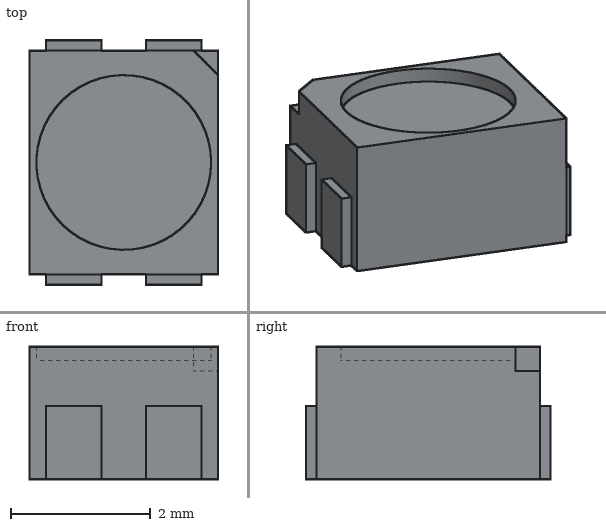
import cadquery as cq

body_width = 2.7
overall_length = 3.5
lead_thickness = 0.15
body_length = overall_length - 2 * lead_thickness
body_height = 1.9

recess_diameter = 2.5
recess_depth = 0.2

notch_leg = 0.35
notch_depth = 0.35

lead_width = 0.798
lead_height = 1.05
lead_pitch = 1.43


def make_body():
    return cq.Workplane("XY").box(body_width, body_length, body_height, centered=(True, True, False))


def make_recess():
    floor = cq.Workplane("XY").workplane(offset=body_height - recess_depth)
    return floor.circle(recess_diameter / 2).extrude(recess_depth)


def make_corner_notch():
    """Triangular prism at the +X +Y top corner."""
    corner_x = body_width / 2
    corner_y = body_length / 2
    return (
        cq.Workplane("XY")
        .workplane(offset=body_height - notch_depth)
        .moveTo(corner_x, corner_y)
        .lineTo(corner_x - notch_leg, corner_y)
        .lineTo(corner_x, corner_y - notch_leg)
        .close()
        .extrude(notch_depth)
    )


def make_leads():
    """Four flat leads, two on each end face, standing on the base plane."""
    lead_offset_y = (body_length + lead_thickness) / 2
    return (
        cq.Workplane("XY")
        .rarray(lead_pitch, 2 * lead_offset_y, 2, 2)
        .rect(lead_width, lead_thickness)
        .extrude(lead_height)
    )


result = make_body().cut(make_recess()).cut(make_corner_notch()).union(make_leads())